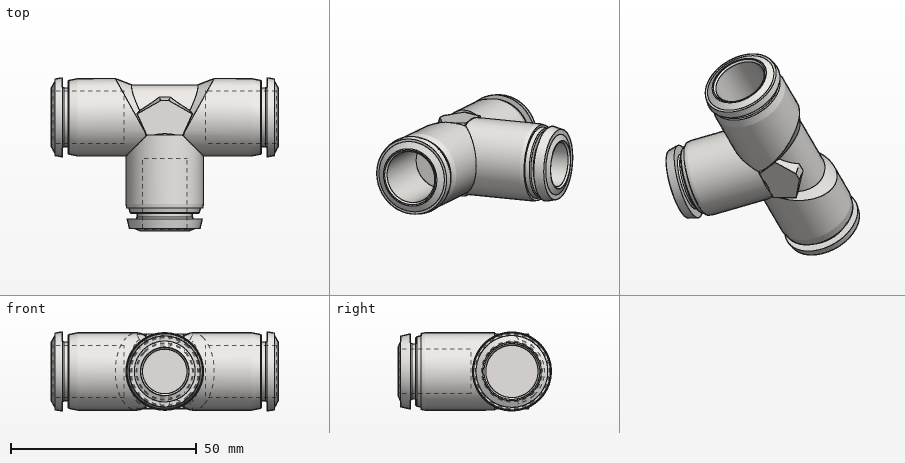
import cadquery as cq
import math

run_end = 30.6
branch_end = 30.65
body_radius = 10.45
waist_radius = 8.75

shoulder_start = 23.4
run_body_end = 26.15
branch_step = 24.5
branch_body_end = 25.95
rim_bevel = 0.3
run_rim_radius = 10.0
branch_rim_radius = 9.35

run_lip_radius = 10.65
run_lip_inner = 27.6
run_lip_outer = 27.9
branch_lip_inner = 27.35
branch_lip_outer = 27.9
run_collar_face = 29.6
branch_collar_face = 30.0

run_neck_radius = 7.95
branch_neck_radius = 7.45
neck_flare_length = 0.5
neck_flare_height = 0.25

run_bore_radius = 7.05
branch_bore_radius = 6.0
bore_chamfer = 0.5
bore_depth = 19.6

arm_taper = 50.0
arm_taper_length = 4.9
run_cut_angle = 29.0
run_cut_x = 7.5
branch_inner_y = 4.7
pad_height = 10.1
pad_draft = 17.0
pad_corner = (7.4, 0.9)
pad_tip = (1.15, 4.45)
pad_front_half_width = 4.9

run_outline = [
    (body_radius, shoulder_start),
    (run_rim_radius, run_body_end - rim_bevel),
    (run_rim_radius - rim_bevel, run_body_end),
    (run_neck_radius, run_body_end),
    (run_neck_radius, run_lip_inner - neck_flare_length),
    (run_neck_radius + neck_flare_height, run_lip_inner),
    (run_lip_radius, run_lip_inner),
    (run_lip_radius, run_lip_outer),
    (10.35, run_collar_face),
    (9.7, run_collar_face),
    (7.9, run_end),
]
branch_outline = [
    (body_radius, shoulder_start),
    (10.3, branch_step),
    (9.7, branch_step),
    (branch_rim_radius, branch_body_end - rim_bevel),
    (branch_rim_radius - rim_bevel, branch_body_end),
    (branch_neck_radius, branch_body_end),
    (branch_neck_radius, branch_lip_inner - neck_flare_length),
    (branch_neck_radius + neck_flare_height, branch_lip_inner),
    (10.15, branch_lip_inner),
    (10.05, branch_lip_outer),
    (9.55, branch_collar_face),
    (8.2, branch_collar_face),
    (6.55, branch_end),
]


def revolve_y(outline):
    """Solid of revolution about Y, closed to the axis at both ends of the (radius, y) outline."""
    first_y = outline[0][1]
    last_y = outline[-1][1]
    points = [(0, first_y)] + outline + [(0, last_y)]
    return cq.Workplane("XY").polyline(points).close().revolve(360, (0, 0, 0), (0, 1, 0))


def bore(radius, end):
    """Blind bore along Y, chamfered at its mouth."""
    return revolve_y([
        (radius, end - bore_depth),
        (radius, end - bore_chamfer),
        (radius + bore_chamfer, end),
    ])


def along_x(solid):
    return solid.rotate((0, 0, 0), (0, 0, 1), -90)


def along_minus_y(solid):
    return solid.rotate((0, 0, 0), (0, 0, 1), 180)


def run_arm():
    """Arm toward +X, cut by an upright slanted plane and tapering inward from that cut."""
    slant = math.radians(run_cut_angle)
    inward = cq.Vector(-math.cos(slant), math.sin(slant), 0)
    along_cut = cq.Vector(math.sin(slant), math.cos(slant), 0)
    cut_plane = cq.Plane(origin=(run_cut_x, 0, 0), xDir=along_cut, normal=inward)
    keep_size = 4 * run_end
    inner_half = cq.Workplane(cut_plane).rect(keep_size, keep_size).extrude(keep_size)
    arm = along_x(revolve_y([(body_radius, 0)] + run_outline)).cut(inner_half)
    taper = (
        cq.Workplane(cut_plane)
        .ellipse(body_radius / math.cos(slant), body_radius)
        .extrude(arm_taper_length, taper=arm_taper)
    )
    return arm.union(taper)


def branch_arm():
    """Arm toward -Y, its inner end tapering toward the run axis."""
    tip_radius = body_radius - arm_taper_length * math.tan(math.radians(arm_taper))
    inner_outline = [
        (tip_radius, branch_inner_y - arm_taper_length),
        (body_radius, branch_inner_y),
    ]
    return along_minus_y(revolve_y(inner_outline + branch_outline))


def upper_pad():
    """Five-sided flat pad with walls flaring out downward and an upright front wall."""
    right = [(pad_front_half_width, -branch_inner_y), pad_corner, pad_tip]
    left = [(-x, y) for x, y in reversed(right)]
    pad = (
        cq.Workplane("XY", origin=(0, 0, pad_height))
        .polyline(right + left)
        .close()
        .extrude(-pad_height, taper=-pad_draft)
    )
    front = cq.Workplane("XY").box(2 * run_end, run_end, 2 * run_end)
    return pad.cut(front.translate((0, -branch_inner_y - run_end / 2, 0)))


right_arm = run_arm()
left_arm = right_arm.mirror("YZ")
waist = cq.Workplane("YZ").circle(waist_radius).extrude(run_cut_x + arm_taper_length, both=True)
pad = upper_pad()
result = waist.union(right_arm).union(left_arm).union(branch_arm())
result = result.union(pad).union(pad.mirror("XY"))

run_bore = along_x(bore(run_bore_radius, run_end))
branch_bore = along_minus_y(bore(branch_bore_radius, branch_end))
result = result.cut(run_bore).cut(run_bore.mirror("YZ")).cut(branch_bore).solids()